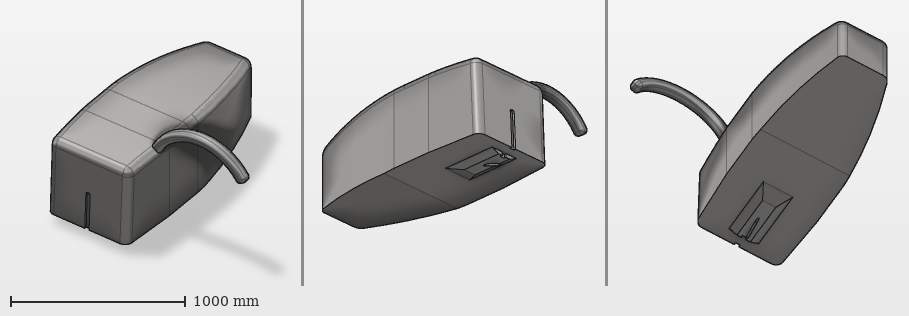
import cadquery as cq
import math


LENGTH = 1397.0
HALF_WIDTH = 306.0
REAR_HALF_WIDTH = 281.0
TIP_HALF_WIDTH = 155.0
SIDE_FLAT_START = 383.0
SIDE_FLAT_END = 661.0
BOW_MID_HALF_WIDTH = 260.0

HEIGHT = 532.0
ROOF_FLAT_START = 338.0
ROOF_FLAT_END = 578.0
REAR_ROOF_RADIUS = 2347.0
FRONT_ROOF_RADIUS = 4359.0
REAR_WALL_LEAN = 24.0
UNDERSIDE_FLAT_END = 745.0
TIP_UNDERSIDE = 53.0
EDGE_RADIUS = 50.0
FRONT_ROOF_EDGE_RADIUS = 77.0

KEEL_DEPTH = 24.0
KEEL_REAR = 77.0
KEEL_NOSE_BOTTOM = 353.0
KEEL_NOSE_TOP = 451.0
KEEL_TOP_HALF_WIDTH = 99.0
KEEL_BOTTOM_HALF_WIDTH = 45.0

GROOVE_WIDTH = 31.0
GROOVE_HEIGHT = 254.0
GROOVE_DEPTH = 14.0

HOOK_CENTER_X = 584.0
HOOK_CENTER_Y = 319.0
HOOK_CENTER_Z = 355.0
HOOK_RADIUS = 349.0
HOOK_THICKNESS = 65.0
HOOK_WIDTH = 75.0
HOOK_EDGE_RADIUS = 25.0
HOOK_ROOT_ANGLE = 162.0
HOOK_TIP_ANGLE = 31.3

ROD_DIAMETER = 12.7
ROD_END_Y = 115.0
ROD_END_Z = -63.0
ROD_SLOPE = 20.0


def rear_roof_height(y):
    """Height of the roof arc that falls tangentially from the flat roof to the rear wall."""
    run = ROOF_FLAT_START - y
    return HEIGHT - REAR_ROOF_RADIUS + math.sqrt(REAR_ROOF_RADIUS**2 - run**2)


def front_roof_height(y):
    """Height of the roof arc that falls tangentially from the flat roof to the front wall."""
    run = y - ROOF_FLAT_END
    return HEIGHT - FRONT_ROOF_RADIUS + math.sqrt(FRONT_ROOF_RADIUS**2 - run**2)


def plan_prism():
    bow_mid_y = (SIDE_FLAT_END + LENGTH) / 2
    return (
        cq.Workplane("XY")
        .workplane(offset=-KEEL_DEPTH)
        .moveTo(-REAR_HALF_WIDTH, 0)
        .lineTo(REAR_HALF_WIDTH, 0)
        .lineTo(HALF_WIDTH, SIDE_FLAT_START)
        .lineTo(HALF_WIDTH, SIDE_FLAT_END)
        .threePointArc((BOW_MID_HALF_WIDTH, bow_mid_y), (TIP_HALF_WIDTH, LENGTH))
        .lineTo(-TIP_HALF_WIDTH, LENGTH)
        .threePointArc((-BOW_MID_HALF_WIDTH, bow_mid_y), (-HALF_WIDTH, SIDE_FLAT_END))
        .lineTo(-HALF_WIDTH, SIDE_FLAT_START)
        .close()
        .extrude(HEIGHT + 2 * KEEL_DEPTH)
    )


def profile_prism():
    rear_mid_y = (REAR_WALL_LEAN + ROOF_FLAT_START) / 2
    front_mid_y = (ROOF_FLAT_END + LENGTH) / 2
    return (
        cq.Workplane("YZ")
        .moveTo(0, 0)
        .lineTo(UNDERSIDE_FLAT_END, 0)
        .lineTo(LENGTH, TIP_UNDERSIDE)
        .lineTo(LENGTH, front_roof_height(LENGTH))
        .threePointArc((front_mid_y, front_roof_height(front_mid_y)), (ROOF_FLAT_END, HEIGHT))
        .lineTo(ROOF_FLAT_START, HEIGHT)
        .threePointArc(
            (rear_mid_y, rear_roof_height(rear_mid_y)),
            (REAR_WALL_LEAN, rear_roof_height(REAR_WALL_LEAN)),
        )
        .close()
        .extrude(2 * HALF_WIDTH, both=True)
    )


def is_rounded(edge):
    """True for the upright corners and the roof rim, False for seams, front rim and underside."""
    box = edge.BoundingBox()
    on_roof = box.zmin > HEIGHT / 2
    on_underside = box.zmax < HEIGHT / 2
    is_crosswise = box.xlen > 2 * EDGE_RADIUS and box.ylen < EDGE_RADIUS
    at_rear = box.ymax < EDGE_RADIUS
    at_front = box.ymin > LENGTH - EDGE_RADIUS
    if on_underside:
        return False
    if on_roof:
        return at_rear or not is_crosswise
    return at_rear or at_front


def make_keel():
    side_prism = (
        cq.Workplane("YZ")
        .polyline(
            [
                (KEEL_REAR, 0),
                (KEEL_REAR, -KEEL_DEPTH),
                (KEEL_NOSE_BOTTOM, -KEEL_DEPTH),
                (KEEL_NOSE_TOP, 0),
            ]
        )
        .close()
        .extrude(KEEL_TOP_HALF_WIDTH, both=True)
    )
    section_prism = (
        cq.Workplane("XZ")
        .polyline(
            [
                (-KEEL_TOP_HALF_WIDTH, 0),
                (-KEEL_BOTTOM_HALF_WIDTH, -KEEL_DEPTH),
                (KEEL_BOTTOM_HALF_WIDTH, -KEEL_DEPTH),
                (KEEL_TOP_HALF_WIDTH, 0),
            ]
        )
        .close()
        .extrude(-KEEL_NOSE_TOP)
    )
    keel_groove = cq.Workplane("XY").box(
        GROOVE_WIDTH, GROOVE_DEPTH, KEEL_DEPTH, centered=(True, False, False)
    )
    return side_prism.intersect(section_prism).cut(keel_groove.translate((0, KEEL_REAR, -KEEL_DEPTH)))


def make_rear_groove():
    rear_wall = cq.Plane(
        origin=(0, 0, 0),
        xDir=(1, 0, 0),
        normal=(0, -rear_roof_height(REAR_WALL_LEAN), REAR_WALL_LEAN),
    )
    half_width = GROOVE_WIDTH / 2
    return (
        cq.Workplane(rear_wall)
        .workplane(offset=GROOVE_DEPTH)
        .moveTo(-half_width, -GROOVE_WIDTH)
        .lineTo(half_width, -GROOVE_WIDTH)
        .lineTo(half_width, GROOVE_HEIGHT - half_width)
        .threePointArc((0, GROOVE_HEIGHT), (-half_width, GROOVE_HEIGHT - half_width))
        .close()
        .extrude(-2 * GROOVE_DEPTH)
    )


def make_housing():
    block = plan_prism().intersect(profile_prism())
    block = block.faces(">Y").edges(">Z").fillet(FRONT_ROOF_EDGE_RADIUS)
    rounded_edges = [edge for edge in block.edges().vals() if is_rounded(edge)]
    shell = block.newObject(rounded_edges).fillet(EDGE_RADIUS)
    return shell.cut(make_rear_groove()).union(make_keel())


def make_hook(housing):
    """Bent bar with rounded edges and a rounded tip; its root is trimmed to fit the housing."""
    tip = math.radians(HOOK_TIP_ANGLE)
    tip_plane = cq.Plane(
        origin=(
            HOOK_CENTER_X + HOOK_RADIUS * math.cos(tip),
            HOOK_CENTER_Y,
            HOOK_CENTER_Z + HOOK_RADIUS * math.sin(tip),
        ),
        xDir=(math.cos(tip), 0, math.sin(tip)),
        normal=(math.sin(tip), 0, -math.cos(tip)),
    )
    bar = (
        cq.Workplane(tip_plane)
        .rect(HOOK_THICKNESS, HOOK_WIDTH)
        .revolve(HOOK_ROOT_ANGLE - HOOK_TIP_ANGLE, (-HOOK_RADIUS, 0), (-HOOK_RADIUS, 1))
    )
    return bar.edges().fillet(HOOK_EDGE_RADIUS).cut(housing)


def make_rod(housing):
    """Straight rod that starts at the keel, trimmed where it would enter it."""
    slope = math.radians(ROD_SLOPE)
    length_to_underside = -ROD_END_Z / math.sin(slope)
    end_plane = cq.Plane(
        origin=(0, ROD_END_Y, ROD_END_Z),
        xDir=(1, 0, 0),
        normal=(0, math.cos(slope), math.sin(slope)),
    )
    rod = cq.Workplane(end_plane).circle(ROD_DIAMETER / 2).extrude(length_to_underside)
    return rod.cut(housing)


housing = make_housing()
hook = make_hook(housing)
rod = make_rod(housing)

result = cq.Compound.makeCompound([housing.val(), hook.val(), rod.val()])